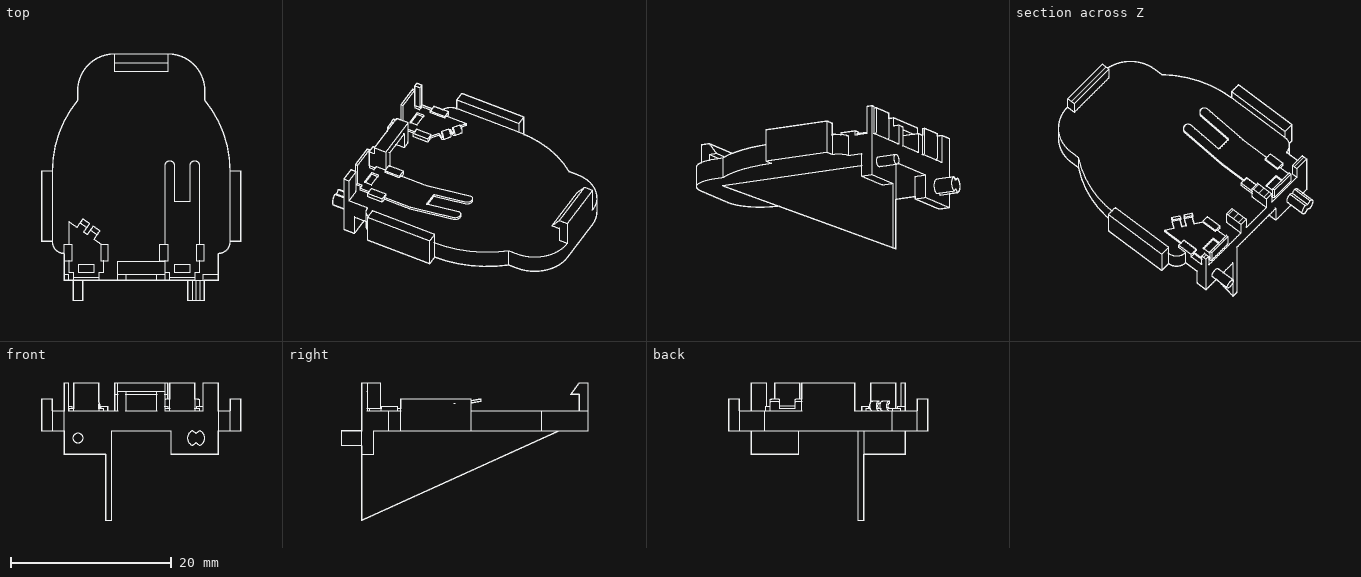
import cadquery as cq
import math


BASE_THICKNESS = 2.52
BASE_BACK = 28.25
BASE_HALF_WIDTH = 11.07
FRONT_HALF_WIDTH = 9.6
FRONT_CORNER_RADIUS = BASE_HALF_WIDTH - FRONT_HALF_WIDTH
SHOULDER_Y = 3.35
BULGE_START_Y = 13.65
NECK_START_Y = 22.42
NECK_HALF_WIDTH = 7.95
BACK_CORNER_RADIUS = 4.6

WALL_OUTER = 12.4
WALL_FRONT = 4.85
WALL_BACK = 13.65
WALL_TOP = 4.03

TOP_Z = 6.0
PLATE_THICKNESS = 1.5
PLATE_BOTTOM = -2.9
PLATE_GAP_HALF_WIDTH = 3.7
POST_DEPTH = 0.75
LEFT_POST_WIDTH = 0.55
RIGHT_POST_WIDTH = 1.9
BRIDGE_HALF_WIDTH = 2.95
BRIDGE_OPENING_HALF_WIDTH = 1.9
BRIDGE_DEPTH = 2.37
BRIDGE_BAR_BOTTOM = 4.95

HOOK_HALF_WIDTH = 3.32
HOOK_STEM_DEPTH = 1.15
HOOK_REACH = 2.18
HOOK_LIP_Z = 4.58

FIN_BOTTOM = -11.15
FIN_LENGTH = 24.55
FIN_THICKNESS = 0.75

PIN_LENGTH = 2.52
PIN_Z = -0.85
ROUND_PIN_X = -7.87
ROUND_PIN_RADIUS = 0.6
GROOVED_PIN_X = 6.83
GROOVED_PIN_RADIUS = 1.05
GROOVE_HALF_WIDTH = 0.45
GROOVE_FLOOR = 0.58

BLOCK_SPANS = [(-FRONT_HALF_WIDTH, -8.6), (-5.0, -4.15), (2.28, 3.32), (6.85, 7.85)]
BLOCK_FRONT = 2.43
BLOCK_BACK = 4.5
BLOCK_TOP = 3.08

SHEET = 0.3
SHEET_TOP = BASE_THICKNESS + SHEET
CONTACT_HALF_WIDTH = 2.15
CONTACT_FRONT = 1.0
LEFT_CONTACT_X = -6.85
RIGHT_CONTACT_X = BRIDGE_HALF_WIDTH + CONTACT_HALF_WIDTH
TAB_HALF_WIDTH = 1.57
TAB_FRONT = 0.05
TAB_INNER_RADIUS = 0.1
TAB_OUTER_RADIUS = TAB_INNER_RADIUS + SHEET
WINDOW_WIDTH = 1.9
WINDOW_DEPTH = 0.98

LEFT_CONTACT_BACK = 7.32
SLANT_ANGLE = 35.0
FINGER_STARTS = [1.23, 2.8]
FINGER_WIDTH = 1.0
FINGER_FLAT = 0.68
CURL_RADIUS = 0.6

FORK_BEND_Y = 8.03
FORK_BEND_RADIUS = 1.05
FORK_ANGLE = 10.0
FORK_TIP_Y = 14.9
FORK_SLOT_BOTTOM = 9.8
TINE_WIDTH = 1.2


def box(x_range, y_range, z_range):
    """Box spanning the given (low, high) range along each axis."""
    size = [high - low for low, high in (x_range, y_range, z_range)]
    corner = (x_range[0], y_range[0], z_range[0])
    return cq.Workplane("XY").box(*size, centered=False).translate(corner)


def extrude_along_x(side_profile, x_range):
    """Extrude a closed profile, drawn in the YZ plane, over a range of X."""
    return side_profile.extrude(x_range[1] - x_range[0]).translate((x_range[0], 0, 0))


def span(centre, half_width):
    return (centre - half_width, centre + half_width)


def right_edge(outline):
    """Draw the right-hand edge of the base from the front up to the back corner."""
    rise = NECK_START_Y - BULGE_START_Y
    inset = BASE_HALF_WIDTH - NECK_HALF_WIDTH
    bulge_radius = (rise**2 + inset**2) / (2 * inset)
    half_angle = math.asin(rise / bulge_radius) / 2
    bulge_middle = (
        BASE_HALF_WIDTH - bulge_radius * (1 - math.cos(half_angle)),
        BULGE_START_Y + bulge_radius * math.sin(half_angle),
    )
    return (
        outline.lineTo(FRONT_HALF_WIDTH, 0)
        .lineTo(FRONT_HALF_WIDTH, SHOULDER_Y)
        .radiusArc((BASE_HALF_WIDTH, SHOULDER_Y + FRONT_CORNER_RADIUS), -FRONT_CORNER_RADIUS)
        .lineTo(BASE_HALF_WIDTH, BULGE_START_Y)
        .threePointArc(bulge_middle, (NECK_HALF_WIDTH, NECK_START_Y))
        .lineTo(NECK_HALF_WIDTH, BASE_BACK - BACK_CORNER_RADIUS)
        .radiusArc((NECK_HALF_WIDTH - BACK_CORNER_RADIUS, BASE_BACK), -BACK_CORNER_RADIUS)
        .lineTo(0, BASE_BACK)
    )


def make_base():
    half = right_edge(cq.Workplane("XY").moveTo(0, 0)).close().extrude(BASE_THICKNESS)
    return half.union(half.mirror("YZ"))


def make_side_walls():
    right = box((BASE_HALF_WIDTH, WALL_OUTER), (WALL_FRONT, WALL_BACK), (0, WALL_TOP))
    return right.union(right.mirror("YZ"))


def make_front_plate():
    """Two legs below the base and two posts above it, all flush with the front face."""
    leg = box((PLATE_GAP_HALF_WIDTH, FRONT_HALF_WIDTH), (0, PLATE_THICKNESS), (PLATE_BOTTOM, 0))
    post_z = (BASE_THICKNESS, TOP_Z)
    left_post = box((-FRONT_HALF_WIDTH, LEFT_POST_WIDTH - FRONT_HALF_WIDTH), (0, POST_DEPTH), post_z)
    right_post = box((FRONT_HALF_WIDTH - RIGHT_POST_WIDTH, FRONT_HALF_WIDTH), (0, POST_DEPTH), post_z)
    return leg.union(leg.mirror("YZ")).union(left_post).union(right_post)


def make_bridge():
    """Two short walls joined by a bar that is set back from the front face."""
    bridge_x = span(0, BRIDGE_HALF_WIDTH)
    bridge = box(bridge_x, (0, BRIDGE_DEPTH), (BASE_THICKNESS, TOP_Z))
    opening = box(
        span(0, BRIDGE_OPENING_HALF_WIDTH), (0, BRIDGE_DEPTH), (BASE_THICKNESS, BRIDGE_BAR_BOTTOM)
    )
    front_step = box(bridge_x, (0, POST_DEPTH), (BRIDGE_BAR_BOTTOM, TOP_Z))
    return bridge.cut(opening).cut(front_step)


def make_hook():
    stem_front = BASE_BACK - HOOK_STEM_DEPTH
    side_profile = (
        cq.Workplane("YZ")
        .moveTo(BASE_BACK, BASE_THICKNESS)
        .lineTo(BASE_BACK, TOP_Z)
        .lineTo(stem_front, TOP_Z)
        .lineTo(BASE_BACK - HOOK_REACH, HOOK_LIP_Z)
        .lineTo(stem_front, HOOK_LIP_Z)
        .lineTo(stem_front, BASE_THICKNESS)
        .close()
    )
    return extrude_along_x(side_profile, span(0, HOOK_HALF_WIDTH))


def make_fin():
    side_profile = cq.Workplane("YZ").polyline([(0, 0), (0, FIN_BOTTOM), (FIN_LENGTH, 0)]).close()
    return extrude_along_x(side_profile, (-PLATE_GAP_HALF_WIDTH - FIN_THICKNESS, -PLATE_GAP_HALF_WIDTH))


def make_pins():
    """A round pin, and a larger one with a V groove along its top and its bottom."""
    front = cq.Workplane("XZ")
    round_pin = front.center(ROUND_PIN_X, PIN_Z).circle(ROUND_PIN_RADIUS).extrude(PIN_LENGTH)
    grooved_pin = front.center(GROOVED_PIN_X, PIN_Z).circle(GROOVED_PIN_RADIUS).extrude(PIN_LENGTH)
    edge_height = math.sqrt(GROOVED_PIN_RADIUS**2 - GROOVE_HALF_WIDTH**2)
    overrun = 2
    groove_top = GROOVE_FLOOR + overrun * (edge_height - GROOVE_FLOOR)
    groove_reach = overrun * GROOVE_HALF_WIDTH
    for side in (1, -1):
        groove = (
            front.center(GROOVED_PIN_X, PIN_Z)
            .moveTo(0, side * GROOVE_FLOOR)
            .lineTo(groove_reach, side * groove_top)
            .lineTo(-groove_reach, side * groove_top)
            .close()
            .extrude(PIN_LENGTH)
        )
        grooved_pin = grooved_pin.cut(groove)
    return round_pin.union(grooved_pin)


def make_retaining_blocks():
    """Blocks that overhang the contacts, slotted underneath where the sheet passes."""
    blocks = cq.Workplane("XY")
    block_y = (BLOCK_FRONT, BLOCK_BACK)
    for block_x in BLOCK_SPANS:
        blocks = blocks.union(box(block_x, block_y, (BASE_THICKNESS, BLOCK_TOP)))
    for contact_x in (LEFT_CONTACT_X, RIGHT_CONTACT_X):
        blocks = blocks.cut(box(span(contact_x, CONTACT_HALF_WIDTH), block_y, (BASE_THICKNESS, SHEET_TOP)))
    return blocks


def make_housing():
    housing = make_base()
    features = [
        make_side_walls(),
        make_front_plate(),
        make_bridge(),
        make_hook(),
        make_fin(),
        make_pins(),
        make_retaining_blocks(),
    ]
    for feature in features:
        housing = housing.union(feature)
    return housing


def make_tab(contact_x):
    """Upright solder tab, bent up from the front edge of a contact."""
    bend_y = TAB_FRONT + TAB_OUTER_RADIUS
    bend_z = BASE_THICKNESS + TAB_OUTER_RADIUS
    side_profile = (
        cq.Workplane("YZ")
        .moveTo(CONTACT_FRONT, BASE_THICKNESS)
        .lineTo(bend_y, BASE_THICKNESS)
        .radiusArc((TAB_FRONT, bend_z), TAB_OUTER_RADIUS)
        .lineTo(TAB_FRONT, TOP_Z)
        .lineTo(TAB_FRONT + SHEET, TOP_Z)
        .lineTo(TAB_FRONT + SHEET, bend_z)
        .radiusArc((bend_y, SHEET_TOP), -TAB_INNER_RADIUS)
        .lineTo(CONTACT_FRONT, SHEET_TOP)
        .close()
    )
    return extrude_along_x(side_profile, span(contact_x, TAB_HALF_WIDTH))


def make_window(contact_x):
    """Rectangular hole through a contact, next to its tab."""
    window_y = (CONTACT_FRONT, CONTACT_FRONT + WINDOW_DEPTH)
    return box(span(contact_x, WINDOW_WIDTH / 2), window_y, (BASE_THICKNESS, SHEET_TOP))


def make_finger(start):
    """Finger that leaves the slanted edge and curls back over itself in a half circle."""
    inner_radius = CURL_RADIUS - SHEET
    slant = math.radians(SLANT_ANGLE)
    along_edge = cq.Vector(math.cos(slant), -math.sin(slant), 0)
    corner = cq.Vector(LEFT_CONTACT_X - CONTACT_HALF_WIDTH, LEFT_CONTACT_BACK, BASE_THICKNESS)
    outward = cq.Vector(math.sin(slant), math.cos(slant), 0)
    plane = cq.Plane(origin=corner + along_edge * start, xDir=outward, normal=along_edge)
    return (
        cq.Workplane(plane)
        .moveTo(-SHEET, 0)
        .lineTo(FINGER_FLAT, 0)
        .threePointArc((FINGER_FLAT + CURL_RADIUS, CURL_RADIUS), (FINGER_FLAT, 2 * CURL_RADIUS))
        .lineTo(FINGER_FLAT, 2 * CURL_RADIUS - SHEET)
        .threePointArc((FINGER_FLAT + inner_radius, CURL_RADIUS), (FINGER_FLAT, SHEET))
        .lineTo(-SHEET, SHEET)
        .close()
        .extrude(FINGER_WIDTH)
    )


def make_left_contact():
    left, right = span(LEFT_CONTACT_X, CONTACT_HALF_WIDTH)
    right_back = LEFT_CONTACT_BACK - (right - left) * math.tan(math.radians(SLANT_ANGLE))
    outline = [(left, CONTACT_FRONT), (right, CONTACT_FRONT), (right, right_back), (left, LEFT_CONTACT_BACK)]
    sheet = cq.Workplane("XY", origin=(0, 0, BASE_THICKNESS)).polyline(outline).close().extrude(SHEET)
    contact = sheet.union(make_tab(LEFT_CONTACT_X))
    for start in FINGER_STARTS:
        contact = contact.union(make_finger(start))
    return contact.cut(make_window(LEFT_CONTACT_X))


def make_fork_sheet():
    """Full-width sheet that lies flat, then bends and rises toward the back."""
    angle = math.radians(FORK_ANGLE)
    bend_centre_z = SHEET_TOP + FORK_BEND_RADIUS
    outer_radius = FORK_BEND_RADIUS + SHEET

    def bend_end(radius):
        return (FORK_BEND_Y + radius * math.sin(angle), bend_centre_z - radius * math.cos(angle))

    def above_tip(radius):
        y, z = bend_end(radius)
        return (FORK_TIP_Y, z + (FORK_TIP_Y - y) * math.tan(angle))

    side_profile = (
        cq.Workplane("YZ")
        .moveTo(CONTACT_FRONT, BASE_THICKNESS)
        .lineTo(FORK_BEND_Y, BASE_THICKNESS)
        .radiusArc(bend_end(outer_radius), -outer_radius)
        .lineTo(*above_tip(outer_radius))
        .lineTo(*above_tip(FORK_BEND_RADIUS))
        .lineTo(*bend_end(FORK_BEND_RADIUS))
        .radiusArc((FORK_BEND_Y, SHEET_TOP), FORK_BEND_RADIUS)
        .lineTo(CONTACT_FRONT, SHEET_TOP)
        .close()
    )
    return extrude_along_x(side_profile, span(RIGHT_CONTACT_X, CONTACT_HALF_WIDTH))


def make_fork_outline():
    """Upright prism with the plan shape of the fork: two round-ended tines."""
    left, right = span(RIGHT_CONTACT_X, CONTACT_HALF_WIDTH)
    tip_radius = TINE_WIDTH / 2
    round_start = FORK_TIP_Y - tip_radius
    return (
        cq.Workplane("XY")
        .moveTo(left, CONTACT_FRONT)
        .lineTo(right, CONTACT_FRONT)
        .lineTo(right, round_start)
        .threePointArc((right - tip_radius, FORK_TIP_Y), (right - TINE_WIDTH, round_start))
        .lineTo(right - TINE_WIDTH, FORK_SLOT_BOTTOM)
        .lineTo(left + TINE_WIDTH, FORK_SLOT_BOTTOM)
        .lineTo(left + TINE_WIDTH, round_start)
        .threePointArc((left + tip_radius, FORK_TIP_Y), (left, round_start))
        .close()
        .extrude(TOP_Z)
    )


def make_right_contact():
    fork = make_fork_sheet().intersect(make_fork_outline())
    return fork.union(make_tab(RIGHT_CONTACT_X)).cut(make_window(RIGHT_CONTACT_X))


housing = make_housing()
left_contact = make_left_contact()
right_contact = make_right_contact()

result = cq.Compound.makeCompound([body.solids().val() for body in (housing, left_contact, right_contact)])